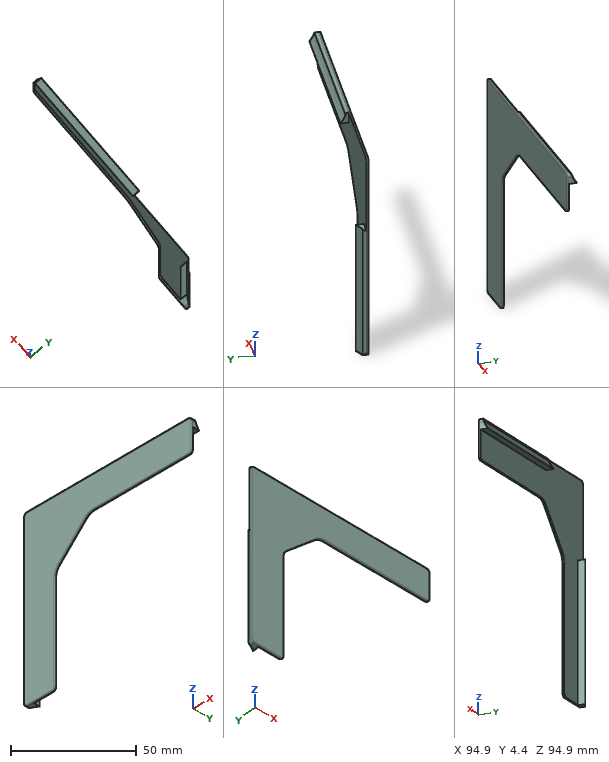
import cadquery as cq

side = 94.9
arm_width = 17.6
plate_thickness = 1.0
corner_radius = 1.9
gusset_leg = 19.0
gusset_radius = 6.6
face_edge_radius = 0.4

rail_length = 60.5
rail_width = 4.9
rail_top = 4.4
shoulder_height = 2.3
shoulder_radius = shoulder_height - plate_thickness
flank_sag = 0.1


def extrude_outline(height):
    """L outline with a gusset, extruded along +Y from the front face at Y = 0."""
    box_margin = 0.95
    inner = side - arm_width
    gusset_end = arm_width + gusset_leg
    outline = (
        cq.Workplane("XZ")
        .moveTo(0, 0)
        .lineTo(arm_width, 0)
        .lineTo(arm_width, side - gusset_end)
        .lineTo(gusset_end, inner)
        .lineTo(side, inner)
        .lineTo(side, side)
        .lineTo(0, side)
        .close()
        .extrude(-height)
    )
    gusset_box = cq.selectors.BoxSelector(
        (arm_width - box_margin, -box_margin, inner - gusset_leg - box_margin),
        (gusset_end + box_margin, height + box_margin, inner + box_margin),
    )
    upright_edges = cq.selectors.ParallelDirSelector(cq.Vector(0, 1, 0))
    gusset_edges = cq.selectors.AndSelector(upright_edges, gusset_box)
    outer_edges = cq.selectors.SubtractSelector(upright_edges, gusset_box)
    rounded = outline.edges(outer_edges).fillet(corner_radius)
    return rounded.edges(gusset_edges).fillet(gusset_radius)


def make_left_rail():
    """Rail up the X = 0 edge: rounded shoulder, then a hollow flank rising to a sharp tip."""
    flank_mid = (
        (shoulder_radius + rail_width) / 2 + flank_sag,
        (shoulder_height + rail_top) / 2 - flank_sag,
    )
    return (
        cq.Workplane("XY")
        .moveTo(0, plate_thickness / 2)
        .lineTo(0, plate_thickness)
        .tangentArcPoint((shoulder_radius, shoulder_height), relative=False)
        .threePointArc(flank_mid, (rail_width, rail_top))
        .lineTo(rail_width, plate_thickness / 2)
        .close()
        .extrude(rail_length)
    )


def make_top_rail(left_rail):
    """Same rail along the Z = side edge, mirrored across the diagonal of the L."""
    diagonal_start = (0, 0, side)
    diagonal_end = (0.95, 0, side - 0.95)
    return left_rail.rotate(diagonal_start, diagonal_end, 180).mirror("XZ")


plate = extrude_outline(plate_thickness).faces("<Y").edges().fillet(face_edge_radius)

left_rail = make_left_rail()
rails = left_rail.union(make_top_rail(left_rail)).intersect(extrude_outline(rail_top))

result = plate.union(rails)